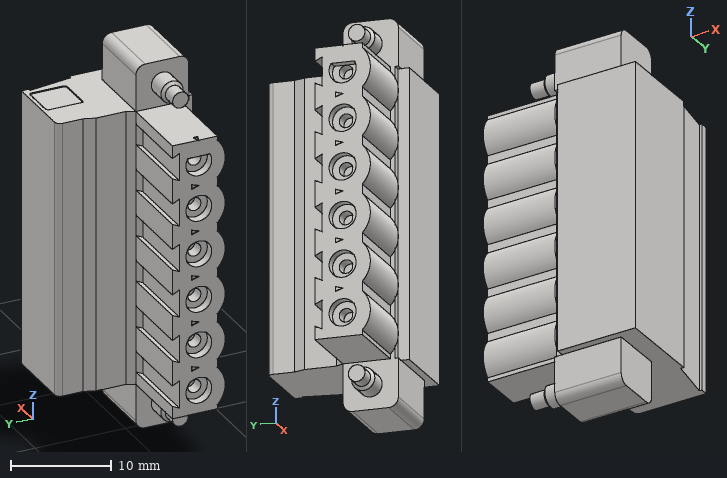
import cadquery as cq


POLES = 6
PITCH = 5.1
BODY_HEIGHT = POLES * PITCH
BODY_TOP = BODY_HEIGHT / 2
LENGTH = 18.2

FRONT_Y = -3.78
BACK_Y = 11.2
SHOULDER_X = 8.35
FOOT_X = 9.2
FOOT_Y = -2.55
WAIST_X = 8.78
WAIST_Y = (3.78, 7.1)
UPPER_Y = 8.35
CORNER_RADIUS = 0.6
LIP_X = 17.4
LIP_Y = 10.32
LIP_UNDERCUT = 0.3
SLOPE_END_X = 17.85
SLOPE_END_Y = 5.55

PLUG_HALF_WIDTH = 2.93
VALLEY_Y = -2.07
SOCKET_RADIUS = 1.42
SOCKET_DEPTH = 1.0
BORE_DIAMETER = 1.42
BORE_DEPTH = 2.45
KEY_FLAT = 0.75
NOTCH_FLOOR_Y = 2.15
NOTCH_FLOOR_HALF = 1.5
NOTCH_MOUTH_HALF = 1.15

ARROW_LENGTH = 0.77
ARROW_HALF_WIDTH = 0.25
ARROW_DEPTH = 0.1

FLANGE_END_X = 16.05
FLANGE_RADIUS = 1.0
SCREW_Z = BODY_TOP + PITCH / 2
SCREW_TIP_X = 4.2
SCREW_CONE_X = (5.85, 6.15)
SCREW_TIP_DIAMETER = 1.75
SCREW_SHANK_RADIUS = 1.2

LABEL_SIZE = 4.05
LABEL_CENTER = (14.45, 8.75)
LABEL_RADIUS = 0.3
LABEL_DEPTH = 0.12

POLE_Z = [(i - (POLES - 1) / 2) * PITCH for i in range(POLES)]


def yz_plane(x):
    """Sketch plane at the given X with local axes Y and Z, extruding toward +X."""
    return cq.Workplane("YZ", origin=(x, 0, 0))


def make_housing():
    outline = [
        (SHOULDER_X, FOOT_Y),
        (FOOT_X, FOOT_Y),
        (FOOT_X, FRONT_Y),
        (LENGTH, FRONT_Y),
        (LENGTH, SLOPE_END_Y),
        (SLOPE_END_X, SLOPE_END_Y),
        (LIP_X - LIP_UNDERCUT, LIP_Y),
        (LIP_X, LIP_Y),
        (LIP_X, BACK_Y),
        (FOOT_X, BACK_Y),
        (FOOT_X, UPPER_Y),
        (WAIST_X, WAIST_Y[1]),
        (WAIST_X, WAIST_Y[0]),
        (SHOULDER_X, PLUG_HALF_WIDTH),
    ]
    housing = cq.Workplane("XY").polyline(outline).close().extrude(BODY_HEIGHT / 2, both=True)
    back_corner = cq.selectors.NearestToPointSelector((FOOT_X, BACK_Y, 0))
    return housing.edges(back_corner).fillet(CORNER_RADIUS)


def make_flange(side):
    """Ear on one end of the housing: side is +1 for the top, -1 for the bottom."""
    return (
        yz_plane(SHOULDER_X)
        .center(0, side * SCREW_Z)
        .rect(2 * PLUG_HALF_WIDTH, PITCH)
        .extrude(FLANGE_END_X - SHOULDER_X)
        .faces(">Z" if side > 0 else "<Z")
        .edges("|X")
        .fillet(FLANGE_RADIUS)
    )


def make_screw(side):
    """Stepped screw end, turned about an axis parallel to X."""
    half_profile = [
        (SCREW_TIP_X, 0),
        (SCREW_TIP_X, SCREW_TIP_DIAMETER / 2),
        (SCREW_CONE_X[0], SCREW_TIP_DIAMETER / 2),
        (SCREW_CONE_X[1], SCREW_SHANK_RADIUS),
        (SHOULDER_X, SCREW_SHANK_RADIUS),
        (SHOULDER_X, 0),
    ]
    screw = cq.Workplane("XY").polyline(half_profile).close().revolve(360, (0, 0), (1, 0))
    return screw.translate((0, 0, side * SCREW_Z))


def make_plug_block():
    """Slab with one round lobe per pole bulging out of its front."""
    slab_width = PLUG_HALF_WIDTH - VALLEY_Y
    block = (
        yz_plane(0)
        .center(VALLEY_Y + slab_width / 2, 0)
        .rect(slab_width, BODY_HEIGHT)
        .extrude(SHOULDER_X)
    )
    for z in POLE_Z:
        lobe = yz_plane(0).center(0, z).circle(PLUG_HALF_WIDTH).extrude(SHOULDER_X)
        block = block.union(lobe)
    bounds = yz_plane(0).rect(2 * PLUG_HALF_WIDTH, BODY_HEIGHT).extrude(SHOULDER_X)
    return block.intersect(bounds)


def make_socket(z, keyed):
    """Stepped round opening of one pole; a keyed one has a flat on its upper side."""
    socket = yz_plane(0).center(0, z).circle(SOCKET_RADIUS).extrude(SOCKET_DEPTH)
    if keyed:
        below_flat = (
            yz_plane(0)
            .center(0, z + KEY_FLAT - SOCKET_RADIUS)
            .rect(2 * SOCKET_RADIUS, 2 * SOCKET_RADIUS)
            .extrude(SOCKET_DEPTH)
        )
        socket = socket.intersect(below_flat)
    bore = yz_plane(0).center(0, z).circle(BORE_DIAMETER / 2).extrude(BORE_DEPTH)
    return socket.union(bore)


def make_notch(z):
    """Dovetail groove along X in the back of the plug block."""
    outline = [
        (NOTCH_FLOOR_Y, z - NOTCH_FLOOR_HALF),
        (PLUG_HALF_WIDTH, z - NOTCH_MOUTH_HALF),
        (PLUG_HALF_WIDTH, z + NOTCH_MOUTH_HALF),
        (NOTCH_FLOOR_Y, z + NOTCH_FLOOR_HALF),
    ]
    return yz_plane(0).polyline(outline).close().extrude(SHOULDER_X)


def make_face_arrow(z):
    """Shallow triangle in the plug face, between two poles."""
    outline = [
        (0, z),
        (ARROW_LENGTH, z + ARROW_HALF_WIDTH),
        (ARROW_LENGTH, z - ARROW_HALF_WIDTH),
    ]
    return yz_plane(0).polyline(outline).close().extrude(ARROW_DEPTH)


def make_top_arrow():
    """Shallow triangle in the top of the plug block, pointing at the plug face."""
    outline = [
        (0, 0),
        (ARROW_LENGTH, ARROW_HALF_WIDTH),
        (ARROW_LENGTH, -ARROW_HALF_WIDTH),
    ]
    top = cq.Workplane("XY", origin=(0, 0, BODY_TOP))
    return top.polyline(outline).close().extrude(-ARROW_DEPTH)


def make_label_recess():
    return (
        cq.Workplane("XY", origin=(*LABEL_CENTER, BODY_TOP))
        .rect(LABEL_SIZE, LABEL_SIZE)
        .extrude(-LABEL_DEPTH)
        .edges("|Z")
        .fillet(LABEL_RADIUS)
    )


result = make_housing().union(make_plug_block())
for end in (-1, 1):
    result = result.union(make_flange(end)).union(make_screw(end))

for pole_z in POLE_Z:
    result = result.cut(make_socket(pole_z, keyed=pole_z == POLE_Z[-1]))
    result = result.cut(make_notch(pole_z))

for pole_z in POLE_Z[:-1]:
    result = result.cut(make_face_arrow(pole_z + PITCH / 2))

result = result.cut(make_top_arrow()).cut(make_label_recess())